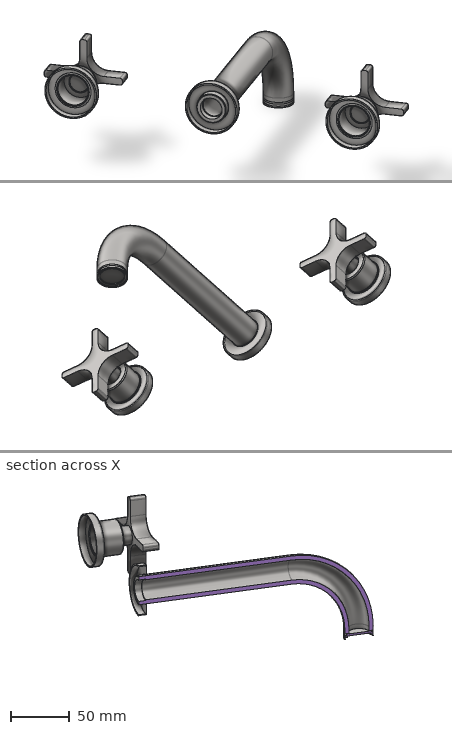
import cadquery as cq


overall_width = 319.5
overall_height = 104.8
overall_depth = 213.5

flange_radius = 23.0
flange_height = 7.5
flange_wall = 1.3
flange_plate = 1.0
handle_flange_fillet = 1.3
spout_flange_fillet = 0.5

spout_radius = 13.0
spout_inlet_radius = 9.5
spout_inlet_depth = 6.5
spout_bore_radius = 9.0
spout_clearance = 0.3
spout_end_chamfer = 0.5
bend_radius = 61.0
outlet_bore_radius = 12.5
outlet_bore_depth = 4.8

aerator_recess = 1.3
aerator_chamfer = 1.5
aerator_bore_radius = 10.5
aerator_screen = 2.2

sleeve_radius = 15.3
sleeve_lip_radius = 16.0
sleeve_lip_height = 1.3
sleeve_bore_radius = 13.5
sleeve_top = 27.8
sleeve_roof = 2.2
sleeve_top_chamfer = 1.0
flange_sleeve_hole_radius = 14.5

handle_radius = 34.8
handle_start = 37.7
handle_thickness = 14.5
arm_width = 6.5
arm_tip_fillet = 2.2
arm_root_fillet = 15.0
stem_radius = 8.3
stem_hole_radius = 9.3

handle_offset = overall_width / 2 - handle_radius
outlet_z = handle_radius - overall_height
outlet_y = overall_depth - spout_radius
bend_start = outlet_y - bend_radius
sleeve_floor = sleeve_top - sleeve_roof


def rod(radius, start, end):
    """Cylinder about the Y axis, from Y = start to Y = end."""
    return cq.Workplane("XZ", origin=(0, start, 0)).circle(radius).extrude(start - end)


def make_flange(hole_radius, edge_fillet):
    """Thin cup, open towards the wall, with a central hole."""
    cup = rod(flange_radius, 0, flange_height).faces(">Y").edges().fillet(edge_fillet)
    recess = rod(flange_radius - flange_wall, 0, flange_height - flange_plate)
    return cup.cut(recess).cut(rod(hole_radius, 0, flange_height))


def spout_sweep(radius):
    """Round bar along the spout's path: straight out, through a quarter bend, then down to the outlet."""
    path = cq.Workplane("YZ").lineTo(bend_start, 0)
    path = path.tangentArcPoint((outlet_y, -bend_radius), relative=False).lineTo(outlet_y, outlet_z)
    return cq.Workplane("XZ").circle(radius).sweep(path)


def outlet_rod(radius, bottom, top):
    """Vertical cylinder on the outlet's axis."""
    base = cq.Workplane("XY", origin=(0, outlet_y, bottom))
    return base.circle(radius).extrude(top - bottom)


def make_spout():
    """Bent tube with a wider inlet and a counterbored outlet."""
    tube = spout_sweep(spout_radius).faces("<Y").edges().chamfer(spout_end_chamfer)
    tube = tube.cut(spout_sweep(spout_bore_radius))
    tube = tube.cut(rod(spout_inlet_radius, 0, spout_inlet_depth))
    return tube.cut(outlet_rod(outlet_bore_radius, outlet_z, outlet_z + outlet_bore_depth))


def make_aerator():
    """Insert that fills the outlet's counterbore, with a blind recess from below."""
    bottom = outlet_z + aerator_recess
    top = outlet_z + outlet_bore_depth
    insert = outlet_rod(outlet_bore_radius, bottom, top)
    insert = insert.faces(">Z").edges().chamfer(aerator_chamfer)
    return insert.cut(outlet_rod(aerator_bore_radius, bottom, top - aerator_screen))


def make_sleeve():
    """Lipped cap on a handle's flange, with a hole for the stem in its roof."""
    sleeve = rod(sleeve_radius, flange_height, sleeve_top)
    sleeve = sleeve.faces(">Y").edges().chamfer(sleeve_top_chamfer)
    sleeve = sleeve.union(rod(sleeve_lip_radius, flange_height, flange_height + sleeve_lip_height))
    sleeve = sleeve.cut(rod(sleeve_bore_radius, flange_height, sleeve_floor))
    return sleeve.cut(rod(stem_hole_radius, sleeve_floor, sleeve_top))


def make_handle():
    """Four-armed cross with rounded roots and tips, on a round stem."""
    plane = cq.Workplane("XZ", origin=(0, handle_start, 0))
    bar = plane.rect(2 * handle_radius, arm_width).extrude(-handle_thickness)
    bar = bar.edges("|Y").fillet(arm_tip_fillet)
    cross = bar.union(bar.rotate((0, 0, 0), (0, 1, 0), 90))
    root_zone = cq.selectors.BoxSelector(
        (-arm_width, handle_start, -arm_width),
        (arm_width, handle_start + handle_thickness, arm_width),
    )
    cross = cross.edges("|Y").edges(root_zone).fillet(arm_root_fillet)
    return cross.union(rod(stem_radius, sleeve_floor, handle_start))


spout = make_spout()
aerator = make_aerator()
spout_flange = make_flange(spout_radius + spout_clearance, spout_flange_fillet)
bodies = [spout.val(), aerator.val(), spout_flange.val()]

for side in (-1, 1):
    place = (side * handle_offset, 0, 0)
    flange = make_flange(flange_sleeve_hole_radius, handle_flange_fillet).translate(place)
    sleeve = make_sleeve().translate(place)
    handle = make_handle().translate(place)
    bodies += [flange.val(), sleeve.val(), handle.val()]

result = cq.Compound.makeCompound(bodies)